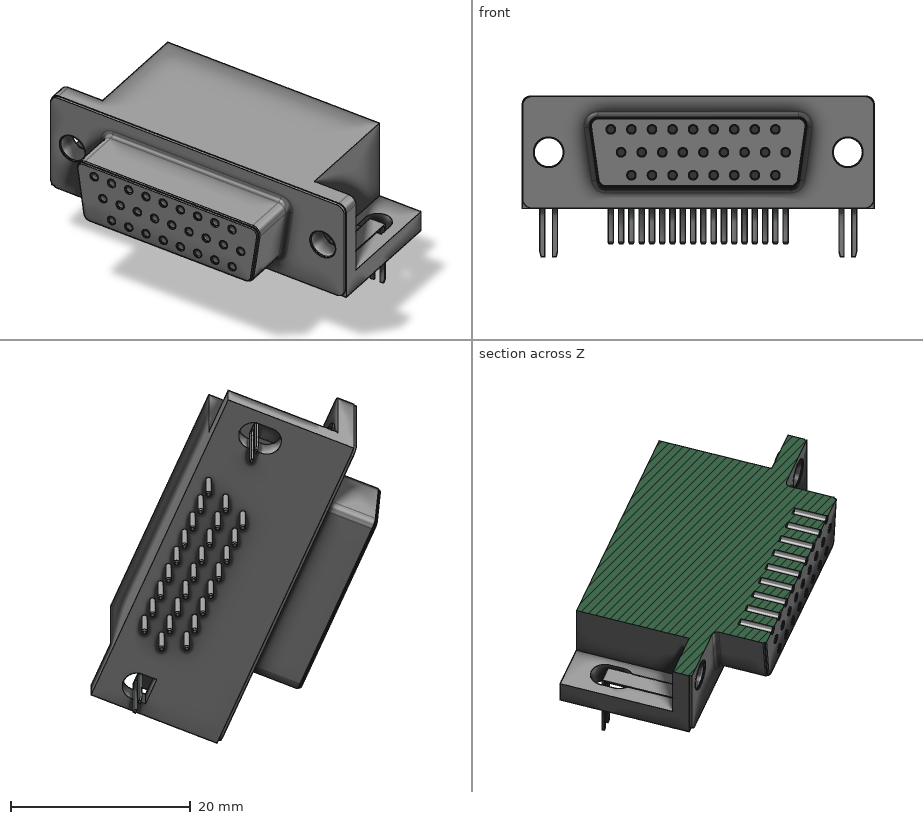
import cadquery as cq
import math


width = 39.2
height = 12.55
body_depth = 15.52
flange_depth = 2.27
block_width = 28.15
shelf_height = 2.6
flange_corner_radius = 0.98

plate_thickness = 0.3
plate_inset = 0.08

mount_spacing = 33.3
mount_x = mount_spacing / 2
mount_z = height / 2
mount_hole_diameter = 3.2
mount_hole_chamfer = 0.098

shell_length = 6.1
shell_height = 7.88
shell_top_half_width = 12.25
shell_side_angle = 8.0
shell_corner_radius = 0.98
shell_root_fillet = 0.6
root_margin = 0.4
face_step = 0.1

long_row_count = 9
long_row_span = 18.3
contact_pitch = long_row_span / (long_row_count - 1)
row_pitch = 2.55
first_row_x = -(long_row_span + contact_pitch / 2) / 2
rows = [
    (first_row_x, long_row_count),
    (first_row_x + contact_pitch / 2, long_row_count),
    (first_row_x + contact_pitch, long_row_count - 1),
]
socket_diameter = 0.85
socket_chamfer = 0.098
socket_depth = 3.92

pin_diameter = 0.63
pin_length = 3.92
pin_tip_taper = 0.1
pin_tip_height = 0.2
pin_embed = 0.4
back_row_inset = 1.8

slot_width = 3.2
slot_back_inset = 4.27
round_slot_run = 1.65
square_slot_run = 1.72

sheet = 0.25
bend_radius = 0.1
disc_diameter = 4.0
strip_width = 2.0
strip_rise = 0.1
tongue_offset = 0.1
tongue_top = 4.65
bracket_back_inset = 4.25
prong_width = 0.6
prong_length = 5.37
prong_tip_height = 0.63
prong_tip_taper = 0.15


def box(x0, x1, y0, y1, z0, z1):
    return cq.Workplane("XY").box(x1 - x0, y1 - y0, z1 - z0, centered=False).translate((x0, y0, z0))


def cylinder_y(diameter, x, z, y0, y1):
    """Cylinder along Y from y0 to y1."""
    face = cq.Workplane("XZ", origin=(x, y0, z)).circle(diameter / 2)
    return face.extrude(y0 - y1)


def make_body():
    half = width / 2
    flange = box(-half, half, plate_thickness, flange_depth, 0, height)
    flange = flange.edges("|Y and >Z").fillet(flange_corner_radius)
    shelf = box(-half, half, plate_thickness, body_depth, 0, shelf_height)
    block = box(-block_width / 2, block_width / 2, plate_thickness, body_depth, 0, height)
    return flange.union(shelf).union(block)


def make_plate():
    half = width / 2 - plate_inset
    plate = box(-half, half, 0, plate_thickness, plate_inset, height - plate_inset)
    return plate.edges("|Y").fillet(flange_corner_radius)


def make_d_prism(inset, length):
    """Rounded D outline, inset from the shell surface, extruded forward from the plate."""
    slope = math.tan(math.radians(shell_side_angle))
    outline = [
        (-shell_top_half_width, mount_z + shell_height / 2),
        (shell_top_half_width, mount_z + shell_height / 2),
        (shell_top_half_width - shell_height * slope, mount_z - shell_height / 2),
        (-shell_top_half_width + shell_height * slope, mount_z - shell_height / 2),
    ]
    sketch = cq.Workplane("XZ").polyline(outline).close()
    if inset > 0:
        sketch = sketch.offset2D(-inset)
    prism = sketch.extrude(length)
    prism = prism.edges("|Y").fillet(shell_corner_radius - inset)
    return prism.faces("<Y").chamfer(face_step)


def make_shell():
    """Shell with the insulator face standing proud of its front rim."""
    rim = make_d_prism(0, shell_length - 2 * face_step)
    face = make_d_prism(face_step, shell_length)
    return rim.union(face)


def make_slot(x, run, round_front):
    """Cutter through the shelf, with a round rear end and a round or square front end."""
    rear_y = body_depth - slot_back_inset
    front_y = rear_y - run
    slot = box(x - slot_width / 2, x + slot_width / 2, front_y, rear_y, 0, shelf_height)
    end = cq.Workplane("XY").circle(slot_width / 2).extrude(shelf_height)
    slot = slot.union(end.translate((x, rear_y, 0)))
    if round_front:
        slot = slot.union(end.translate((x, front_y, 0)))
    return slot


def make_hole(diameter, chamfer, x, z, front_y, rear_y):
    """Cutter along Y for a round hole with a chamfered front mouth."""
    bore = cylinder_y(diameter, x, z, front_y, rear_y)
    mouth = cylinder_y(diameter + 2 * chamfer, x, z, front_y, front_y + 2 * chamfer)
    return bore.union(mouth.faces(">Y").chamfer(chamfer))


def make_pin(x, y):
    pin = cq.Workplane("XY", origin=(x, y, -pin_length)).circle(pin_diameter / 2)
    pin = pin.extrude(pin_length + pin_embed)
    return pin.faces("<Z").chamfer(pin_tip_height, pin_tip_taper)


def make_bracket(x):
    """Disc behind the flange, tongue down to the shelf, strip to the rear, two prongs."""
    disc = cylinder_y(disc_diameter, x, mount_z, flange_depth, flange_depth + sheet)
    left = x - strip_width / 2
    right = x + strip_width / 2
    tongue_y = flange_depth + tongue_offset
    rear_y = body_depth - bracket_back_inset
    strip_top = shelf_height + strip_rise
    tongue = box(left, right, tongue_y, tongue_y + sheet, strip_top - sheet, tongue_top)
    strip = box(left, right, tongue_y, rear_y, strip_top - sheet, strip_top)
    bracket = tongue.union(strip)
    for side in (-1, 1):
        outer = side * strip_width / 2
        inner = outer - side * prong_width
        outline = [
            (inner, strip_top),
            (outer, strip_top),
            (outer, prong_tip_height - prong_length),
            (outer - side * prong_tip_taper, -prong_length),
            (inner, -prong_length),
        ]
        prong = cq.Workplane("XZ", origin=(x, rear_y, 0)).polyline(outline).close().extrude(sheet)
        bracket = bracket.union(prong)
    outer_bend = bracket.edges("|X").edges(">Y").edges(">Z")
    return outer_bend.fillet(bend_radius).union(disc)


result = make_body().union(make_plate()).union(make_shell())
root_half_width = shell_top_half_width + root_margin
root_half_height = shell_height / 2 + root_margin
root_zone = cq.selectors.BoxSelector(
    (-root_half_width, -root_margin, mount_z - root_half_height),
    (root_half_width, root_margin, mount_z + root_half_height),
    boundingbox=True,
)
result = result.edges(root_zone).fillet(shell_root_fillet)

result = result.cut(make_slot(-mount_x, round_slot_run, True))
result = result.cut(make_slot(mount_x, square_slot_run, False))

hole_end = flange_depth + sheet
for x in (-mount_x, mount_x):
    result = result.union(make_bracket(x))
    result = result.cut(make_hole(mount_hole_diameter, mount_hole_chamfer, x, mount_z, 0, hole_end))

socket_end = socket_depth - shell_length
for row, (first_x, count) in enumerate(rows):
    socket_z = mount_z + (1 - row) * row_pitch
    pin_y = body_depth - back_row_inset - row * row_pitch
    for i in range(count):
        x = first_x + i * contact_pitch
        result = result.cut(
            make_hole(socket_diameter, socket_chamfer, x, socket_z, -shell_length, socket_end)
        )
        result = result.union(make_pin(x, pin_y))